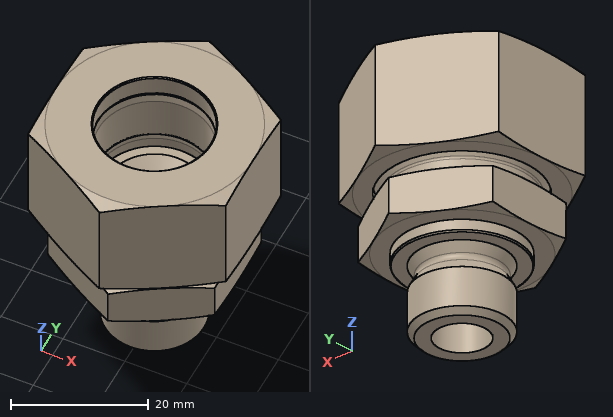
import cadquery as cq
import math


TOTAL_HEIGHT = 42.0
TUBE_DIA = 18.0
HEX_BEVEL_ANGLE = 15.0

STUD_THREAD_DIA = 16.0
STUD_END_CHAMFER = 1.0
STUD_THREAD_TOP = 7.5
GROOVE_DIA = 13.7
GROOVE_EDGE_DIA = 14.03
GROOVE_ARC_BOTTOM = 9.25
GROOVE_ARC_TOP = 10.4
COLLAR_DIA = 21.0
COLLAR_BOTTOM = 11.95
COLLAR_CHAMFER_HEIGHT = 0.3
COLLAR_CHAMFER_WIDTH = 0.145

STUD_HEX_FLATS = 27.0
STUD_HEX_TOP_FACE_DIA = 26.65
STUD_HEX_BOTTOM = 14.0
STUD_HEX_HEIGHT = 7.05
STUD_HEX_TOP = STUD_HEX_BOTTOM + STUD_HEX_HEIGHT

NECK_DIA = 23.7
NECK_FILLET = 0.85
NECK_TOP = 23.35
SPIGOT_DIA = 26.0
SPIGOT_FLANK_ANGLE = 30.0
SPIGOT_TOP = 34.0

BORE_DIA = 9.0
FUNNEL_DIA = 15.0
FUNNEL_ANGLE = 60.0
TUBE_STOP = 26.9
CONE_MOUTH_DIA = 20.3
CONE_HALF_ANGLE = 12.0

NUT_HEX_FLATS = 32.0
NUT_BOTTOM = 24.0
NUT_HEIGHT = TOTAL_HEIGHT - NUT_BOTTOM
NUT_RIM_CHAMFER = 0.19
NUT_CONE_TOP = 38.55

RING_DIA = 23.0
RING_TOP = 37.93
RING_BOTTOM = 29.53
RING_MOUTH_DIA = 18.65
RING_MOUTH_DEPTH = 1.1


def revolve_profile(sketch):
    """Turn a closed (radius, height) outline around the Z axis."""
    return sketch.close().revolve(360, (0, 0, 0), (0, 1, 0))


def bevelled_hexagon(flats, bottom, height, top_face_dia):
    """Hexagon with flats facing +X and -X, its corners turned off at both ends."""
    corner_radius = flats / math.sqrt(3)
    flat_radius = flats / 2
    top_radius = top_face_dia / 2
    bevel_slope = math.tan(math.radians(HEX_BEVEL_ANGLE))
    bottom_bevel = (corner_radius - flat_radius) * bevel_slope
    top_bevel = (corner_radius - top_radius) * bevel_slope
    top = bottom + height
    prism = (
        cq.Workplane("XY", origin=(0, 0, bottom))
        .polygon(6, 2 * corner_radius)
        .extrude(height)
        .rotate((0, 0, 0), (0, 0, 1), 30)
    )
    envelope = revolve_profile(
        cq.Workplane("XZ")
        .moveTo(0, bottom)
        .lineTo(flat_radius, bottom)
        .lineTo(corner_radius, bottom + bottom_bevel)
        .lineTo(corner_radius, top - top_bevel)
        .lineTo(top_radius, top)
        .lineTo(0, top)
    )
    return prism.intersect(envelope)


def stud_lower_end():
    """Threaded end, rounded groove and sealing collar below the hexagon."""
    thread_radius = STUD_THREAD_DIA / 2
    groove_edge_radius = GROOVE_EDGE_DIA / 2
    groove_middle = (GROOVE_ARC_BOTTOM + GROOVE_ARC_TOP) / 2
    collar_radius = COLLAR_DIA / 2
    return revolve_profile(
        cq.Workplane("XZ")
        .moveTo(0, 0)
        .lineTo(thread_radius - STUD_END_CHAMFER, 0)
        .lineTo(thread_radius, STUD_END_CHAMFER)
        .lineTo(thread_radius, STUD_THREAD_TOP)
        .lineTo(groove_edge_radius, GROOVE_ARC_BOTTOM)
        .threePointArc((GROOVE_DIA / 2, groove_middle), (groove_edge_radius, GROOVE_ARC_TOP))
        .lineTo(thread_radius, COLLAR_BOTTOM)
        .lineTo(collar_radius - COLLAR_CHAMFER_WIDTH, COLLAR_BOTTOM)
        .lineTo(collar_radius, COLLAR_BOTTOM + COLLAR_CHAMFER_HEIGHT)
        .lineTo(collar_radius, STUD_HEX_BOTTOM)
        .lineTo(0, STUD_HEX_BOTTOM)
    )


def stud_upper_end():
    """Neck with a fillet at each end, a sloping flank and the spigot that the nut screws onto."""
    neck_radius = NECK_DIA / 2
    spigot_radius = SPIGOT_DIA / 2
    flank_angle = math.radians(SPIGOT_FLANK_ANGLE)
    flank_start_radius = neck_radius + NECK_FILLET * (1 - math.cos(flank_angle))
    flank_start_height = NECK_TOP + NECK_FILLET * math.sin(flank_angle)
    flank_end_height = flank_start_height + (spigot_radius - flank_start_radius) / math.tan(flank_angle)
    fillet_top = STUD_HEX_TOP + NECK_FILLET
    return revolve_profile(
        cq.Workplane("XZ")
        .moveTo(0, STUD_HEX_TOP)
        .lineTo(neck_radius + NECK_FILLET, STUD_HEX_TOP)
        .radiusArc((neck_radius, fillet_top), NECK_FILLET)
        .lineTo(neck_radius, NECK_TOP)
        .radiusArc((flank_start_radius, flank_start_height), NECK_FILLET)
        .lineTo(spigot_radius, flank_end_height)
        .lineTo(spigot_radius, SPIGOT_TOP)
        .lineTo(0, SPIGOT_TOP)
    )


def stud_bore():
    """Through bore, funnel, tube socket and the cone that takes the cutting ring."""
    bore_radius = BORE_DIA / 2
    funnel_radius = FUNNEL_DIA / 2
    tube_radius = TUBE_DIA / 2
    mouth_radius = CONE_MOUTH_DIA / 2
    funnel_height = (funnel_radius - bore_radius) / math.tan(math.radians(FUNNEL_ANGLE))
    cone_height = (mouth_radius - tube_radius) / math.tan(math.radians(CONE_HALF_ANGLE))
    return revolve_profile(
        cq.Workplane("XZ")
        .moveTo(0, 0)
        .lineTo(bore_radius, 0)
        .lineTo(bore_radius, TUBE_STOP - funnel_height)
        .lineTo(funnel_radius, TUBE_STOP)
        .lineTo(tube_radius, TUBE_STOP)
        .lineTo(tube_radius, SPIGOT_TOP - cone_height)
        .lineTo(mouth_radius, SPIGOT_TOP)
        .lineTo(0, SPIGOT_TOP)
    )


def make_stud():
    hexagon = bevelled_hexagon(STUD_HEX_FLATS, STUD_HEX_BOTTOM, STUD_HEX_HEIGHT, STUD_HEX_TOP_FACE_DIA)
    return hexagon.union(stud_lower_end()).union(stud_upper_end()).cut(stud_bore())


def make_nut():
    """Hexagon nut with a threaded bore, a 45 degree inner cone and a chamfered tube hole."""
    thread_radius = SPIGOT_DIA / 2
    tube_radius = TUBE_DIA / 2
    cone_height = thread_radius - tube_radius
    bore = revolve_profile(
        cq.Workplane("XZ")
        .moveTo(0, NUT_BOTTOM)
        .lineTo(thread_radius, NUT_BOTTOM)
        .lineTo(thread_radius, NUT_CONE_TOP - cone_height)
        .lineTo(tube_radius, NUT_CONE_TOP)
        .lineTo(tube_radius, TOTAL_HEIGHT - NUT_RIM_CHAMFER)
        .lineTo(tube_radius + NUT_RIM_CHAMFER, TOTAL_HEIGHT)
        .lineTo(0, TOTAL_HEIGHT)
    )
    return bevelled_hexagon(NUT_HEX_FLATS, NUT_BOTTOM, NUT_HEIGHT, NUT_HEX_FLATS).cut(bore)


def make_cutting_ring():
    """Ring wedged between the nut's inner cone and the stud's cone, around the tube."""
    tube_radius = TUBE_DIA / 2
    rim_radius = RING_DIA / 2
    top_radius = tube_radius + NUT_CONE_TOP - RING_TOP
    rim_top = RING_TOP - (rim_radius - top_radius)
    mouth_radius = CONE_MOUTH_DIA / 2
    tip_radius = mouth_radius - (SPIGOT_TOP - RING_BOTTOM) * math.tan(math.radians(CONE_HALF_ANGLE))
    return revolve_profile(
        cq.Workplane("XZ")
        .moveTo(tube_radius, RING_BOTTOM)
        .lineTo(tip_radius, RING_BOTTOM)
        .lineTo(mouth_radius, SPIGOT_TOP)
        .lineTo(rim_radius, SPIGOT_TOP)
        .lineTo(rim_radius, rim_top)
        .lineTo(top_radius, RING_TOP)
        .lineTo(RING_MOUTH_DIA / 2, RING_TOP)
        .lineTo(tube_radius, RING_TOP - RING_MOUTH_DEPTH)
    )


stud = make_stud()
nut = make_nut()
cutting_ring = make_cutting_ring()

result = cq.Compound.makeCompound([stud.val(), nut.val(), cutting_ring.val()])